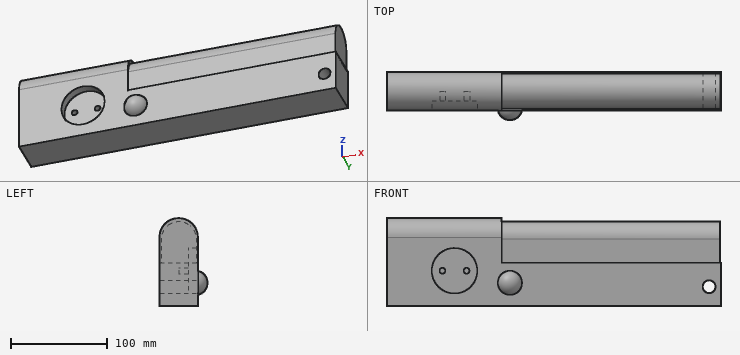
import cadquery as cq

length = 345
width = 40
height = 91
front_y = -width / 2

lamp_start_x = 118.5
lamp_end_inset = 1
lamp_side_inset = 2
shelf_z = 45
lamp_spring_z = 69.5

socket_x = 69.75
socket_z = 36.5
socket_radius = 23.5
socket_depth = 10
pin_radius = 3
pin_spacing = 25
pin_hole_depth = 10

ball_x = 127
ball_z = 24
ball_radius = 12.8
ball_protrusion = 10

hanging_hole_x = 332.7
hanging_hole_z = 20
hanging_hole_radius = 6.5


def round_top_bar(start_x, end_x, bottom_z, spring_z, half_width):
    """Bar along X with upright sides and a half-round top."""
    return (
        cq.Workplane("YZ", origin=(start_x, 0, 0))
        .moveTo(-half_width, bottom_z)
        .lineTo(half_width, bottom_z)
        .lineTo(half_width, spring_z)
        .threePointArc((0, spring_z + half_width), (-half_width, spring_z))
        .close()
        .extrude(end_x - start_x)
    )


def bore_from(y, x, z, radius, depth):
    """Cylinder running in +Y from the given point."""
    return cq.Workplane("XZ", origin=(x, y, z)).circle(radius).extrude(-depth)


def make_housing():
    bar = round_top_bar(0, length, 0, height - width / 2, width / 2)
    clearance = cq.Workplane("XY").box(
        length - lamp_start_x, width, height - shelf_z, centered=(False, True, False)
    )
    return bar.cut(clearance.translate((lamp_start_x, 0, shelf_z)))


def make_lamp():
    half_width = width / 2 - lamp_side_inset
    return round_top_bar(lamp_start_x, length - lamp_end_inset, shelf_z, lamp_spring_z, half_width)


def cut_socket(body):
    floor_y = front_y + socket_depth
    body = body.cut(bore_from(front_y, socket_x, socket_z, socket_radius, socket_depth))
    for side in (-1, 1):
        pin_x = socket_x + side * pin_spacing / 2
        body = body.cut(bore_from(floor_y, pin_x, socket_z, pin_radius, pin_hole_depth))
    return body


def cut_hanging_hole(body):
    return body.cut(bore_from(front_y, hanging_hole_x, hanging_hole_z, hanging_hole_radius, width))


def make_ball():
    center_y = front_y - ball_protrusion + ball_radius
    return cq.Workplane("XY").sphere(ball_radius).translate((ball_x, center_y, ball_z))


body = make_housing().union(make_lamp())
body = cut_socket(body)
body = cut_hanging_hole(body)
result = body.union(make_ball())